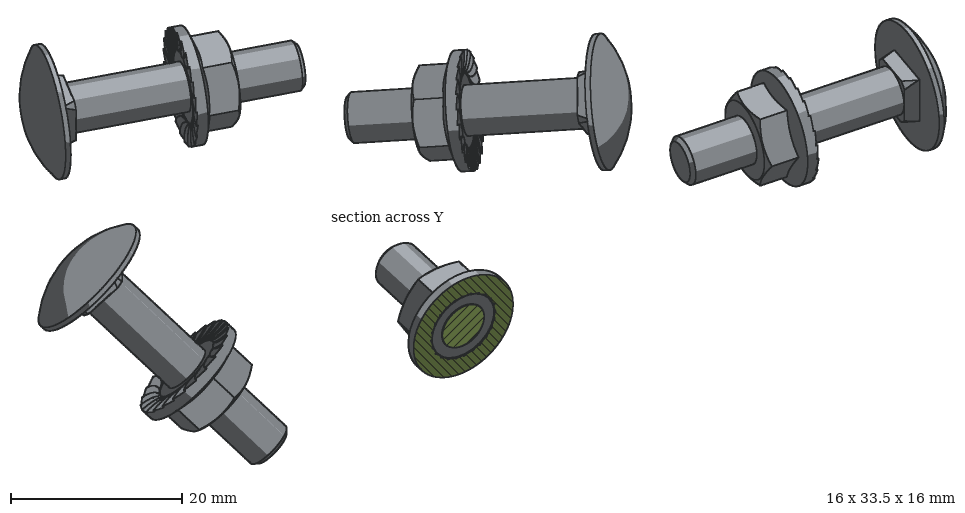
import cadquery as cq
import math

thread_diameter = 6.0
shank_length = 30.0
tip_chamfer = 0.5

head_diameter = 16.0
head_height = 3.5
head_rim_height = 0.65

neck_width = 6.2
neck_length = 2.0
neck_cone_end_radius = 3.88
neck_cone_angle = 15.0

nut_bearing_y = 15.45
nut_height = 6.0
nut_across_flats = 10.0
nut_chamfer_flat_diameter = 9.75
nut_chamfer_angle = 30.0

flange_diameter = 14.2
flange_rim_height = 1.45
flange_cone_angle = 21.0

tooth_count = 24
tooth_height = 0.2
tooth_dish_angle = 2.5
recess_diameter = 8.8
recess_depth = 0.5
tooth_root_radius = 4.38
cut_clearance = 1.0

thread_radius = thread_diameter / 2
head_radius = head_diameter / 2
flange_radius = flange_diameter / 2
nut_end_y = nut_bearing_y + nut_height
flange_top_y = nut_bearing_y + flange_rim_height
tooth_pitch = 360 / tooth_count


def along_y(start_y):
    """Workplane at the given Y whose extrusions grow towards +Y; its local axes are X and -Z."""
    return cq.Workplane("XZ", origin=(0, start_y, 0)).transformed(rotate=(180, 0, 0))


def turned(outline):
    """Solid of revolution about the Y axis from a closed outline in the XY plane."""
    return outline.close().revolve(360, (0, 0, 0), (0, 1, 0))


def tilted(degrees):
    """Rise per unit of run at the given angle."""
    return math.tan(math.radians(degrees))


def polar(radius, degrees):
    """Point (x, z) at a radius and an angle about the Y axis."""
    angle = math.radians(degrees)
    return radius * math.cos(angle), radius * math.sin(angle)



def bolt_head():
    rim_y = -head_rim_height
    dome_height = head_height - head_rim_height
    dome_radius = (head_radius**2 + dome_height**2) / (2 * dome_height)
    half_angle = math.asin(head_radius / dome_radius) / 2
    dome_centre_y = dome_radius - head_height
    dome_middle = (
        dome_radius * math.sin(half_angle),
        dome_centre_y - dome_radius * math.cos(half_angle),
    )
    return turned(
        cq.Workplane("XY")
        .lineTo(head_radius, 0)
        .lineTo(head_radius, rim_y)
        .threePointArc(dome_middle, (0, -head_height))
    )


def bolt_neck():
    """Square neck whose corners are trimmed by a cone that narrows towards the shank."""
    square = along_y(0).rect(neck_width, neck_width).extrude(neck_length)
    cone_base_radius = neck_cone_end_radius + neck_length * tilted(neck_cone_angle)
    cone = turned(
        cq.Workplane("XY")
        .lineTo(cone_base_radius, 0)
        .lineTo(neck_cone_end_radius, neck_length)
        .lineTo(0, neck_length)
    )
    return square.intersect(cone)


def bolt_shank():
    return turned(
        cq.Workplane("XY")
        .lineTo(thread_radius, 0)
        .lineTo(thread_radius, shank_length - tip_chamfer)
        .lineTo(thread_radius - tip_chamfer, shank_length)
        .lineTo(0, shank_length)
    )



def nut_hexagon():
    """Hexagon with corners on the X axis, its far end chamfered by a cone."""
    corner_diameter = nut_across_flats / math.cos(math.pi / 6)
    hexagon = along_y(flange_top_y).polygon(6, corner_diameter).extrude(nut_end_y - flange_top_y)
    flat_radius = nut_chamfer_flat_diameter / 2
    chamfer_run = flange_radius - flat_radius
    cone = turned(
        cq.Workplane("XY")
        .moveTo(0, nut_bearing_y)
        .lineTo(flange_radius, nut_bearing_y)
        .lineTo(flange_radius, nut_end_y - chamfer_run * tilted(nut_chamfer_angle))
        .lineTo(flat_radius, nut_end_y)
        .lineTo(0, nut_end_y)
    )
    return hexagon.intersect(cone)


def nut_flange():
    """Flange disc with a conical back that runs in under the hexagon."""
    cone_top_radius = thread_radius
    cone_rise = (flange_radius - cone_top_radius) * tilted(flange_cone_angle)
    return turned(
        cq.Workplane("XY")
        .moveTo(0, nut_bearing_y)
        .lineTo(flange_radius, nut_bearing_y)
        .lineTo(flange_radius, flange_top_y)
        .lineTo(cone_top_radius, flange_top_y + cone_rise)
        .lineTo(0, flange_top_y + cone_rise)
    )


def tooth_gap():
    """Space on the bearing side of one ramped tooth.

    The walls are arcs that leave the rim radially and run tangent into the root circle.
    The ramp is a plane that falls from the tip at angle 0 by the tooth height in one pitch
    and dips into the nut towards the axis by the dish angle.
    """
    wall_radius = (flange_radius**2 - tooth_root_radius**2) / (2 * tooth_root_radius)
    wall_sweep = math.degrees(math.atan(wall_radius / flange_radius))
    wall_centre_radius = tooth_root_radius + wall_radius

    def wall_middle(start):
        centre_x, centre_z = polar(wall_centre_radius, start + wall_sweep)
        direction_to_rim = start - 90
        direction_to_root = start + wall_sweep - 180
        offset_x, offset_z = polar(wall_radius, (direction_to_rim + direction_to_root) / 2)
        return centre_x + offset_x, centre_z + offset_z

    outer_radius = flange_radius + cut_clearance
    footprint = (
        cq.Workplane("XZ", origin=(0, nut_bearing_y - cut_clearance, 0))
        .moveTo(*polar(outer_radius, 0))
        .lineTo(*polar(flange_radius, 0))
        .threePointArc(wall_middle(0), polar(tooth_root_radius, wall_sweep))
        .lineTo(*polar(tooth_root_radius, wall_sweep + tooth_pitch))
        .threePointArc(wall_middle(tooth_pitch), polar(flange_radius, tooth_pitch))
        .lineTo(*polar(outer_radius, tooth_pitch))
        .close()
        .extrude(-2 * cut_clearance)
    )

    tip_x, tip_z = polar(flange_radius, 0)
    ramp_run = 2 * flange_radius * math.sin(math.radians(tooth_pitch / 2))
    run_x, run_z = polar(1, 90 + tooth_pitch / 2)
    inward_x, inward_z = polar(-1, tooth_pitch / 2)
    run_slope = tooth_height / ramp_run
    dish_slope = tilted(tooth_dish_angle)
    ramp_plane = cq.Plane(
        origin=(tip_x, nut_bearing_y, tip_z),
        xDir=(run_x, run_slope, run_z),
        normal=(
            run_slope * run_x + dish_slope * inward_x,
            -1,
            run_slope * run_z + dish_slope * inward_z,
        ),
    )
    block_size = 2 * flange_diameter
    outside_ramp = cq.Workplane(ramp_plane).rect(block_size, block_size).extrude(block_size)
    return footprint.intersect(outside_ramp)


def build_nut():
    nut = nut_flange().union(nut_hexagon())
    bore = along_y(nut_bearing_y).circle(thread_radius).extrude(nut_height)
    recess = along_y(nut_bearing_y).circle(recess_diameter / 2).extrude(recess_depth)
    nut = nut.cut(bore).cut(recess)
    gap = tooth_gap()
    for index in range(tooth_count):
        nut = nut.cut(gap.rotate((0, 0, 0), (0, -1, 0), index * tooth_pitch))
    return nut


bolt = bolt_head().union(bolt_neck()).union(bolt_shank())
nut = build_nut()

result = cq.Compound.makeCompound([bolt.val(), nut.val()])